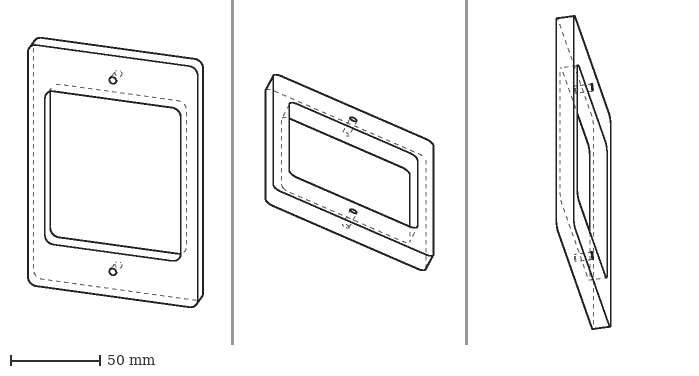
import cadquery as cq

width = 100.0
thickness = 10.0
height = 150.0
corner_radius = 5.0

window_width = 80.0
window_height = 95.2
window_corner_radius = 5.0

hole_diameter = 4.0
hole_spacing = 119.1


def rounded_block(size_x, size_z, radius):
    """Block of plate thickness, centred on the origin, with its Y-parallel edges rounded."""
    return cq.Workplane("XY").box(size_x, thickness, size_z).edges("|Y").fillet(radius)


plate = rounded_block(width, height, corner_radius)
window = rounded_block(window_width, window_height, window_corner_radius)
mounting_holes = (
    cq.Workplane("XZ")
    .pushPoints([(0, -hole_spacing / 2), (0, hole_spacing / 2)])
    .circle(hole_diameter / 2)
    .extrude(thickness / 2, both=True)
)

result = plate.cut(window).cut(mounting_holes)